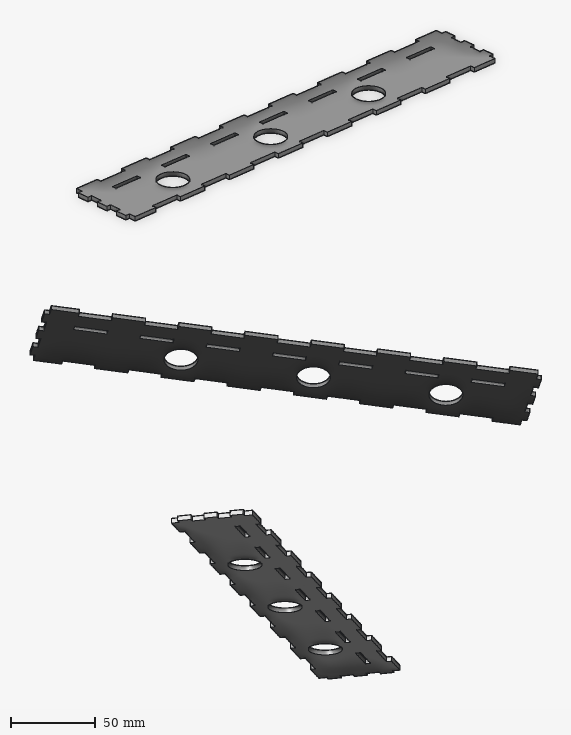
import cadquery as cq

length = 300.0
width = 50.0
thickness = 3.0

joint_depth = thickness

notch_count = 7
notch_length = length / (2 * notch_count + 1)
notch_pitch = 2 * notch_length

tab_count = 3
tab_width = 8.0
tab_pitch = 2 * tab_width

slot_width = thickness
slot_x = -10.5

hole_count = 3
hole_diameter = 20.0
hole_pitch = 2 * notch_pitch
hole_x = 6.0
middle_hole_y = -18.0


def row(count, pitch):
    """Positions of evenly spaced features centred on zero."""
    return [(i - (count - 1) / 2) * pitch for i in range(count)]


def bars(points, size_x, size_y):
    """Rectangular bars of full sheet thickness centred on the given points."""
    return cq.Workplane("XY").pushPoints(points).rect(size_x, size_y).extrude(thickness)


def body():
    """Rectangular sheet without its end tabs."""
    return bars([(0, 0)], width, length - 2 * joint_depth)


def end_tabs():
    """Tabs on both short ends, rooted inside the sheet by their own depth."""
    tab_y = length / 2 - joint_depth
    points = [(x, side * tab_y) for side in (-1, 1) for x in row(tab_count, tab_pitch)]
    return bars(points, tab_width, 2 * joint_depth)


def edge_notches():
    """Notches along both long edges; each cutter is centred on the edge."""
    points = [(side * width / 2, y) for side in (-1, 1) for y in row(notch_count, notch_pitch)]
    return bars(points, 2 * joint_depth, notch_length)


def slots():
    """Narrow through slots level with the edge notches."""
    points = [(slot_x, y) for y in row(notch_count, notch_pitch)]
    return bars(points, slot_width, notch_length)


def round_holes():
    """Large round through holes."""
    points = [(hole_x, middle_hole_y + y) for y in row(hole_count, hole_pitch)]
    return cq.Workplane("XY").pushPoints(points).circle(hole_diameter / 2).extrude(thickness)


result = body().union(end_tabs()).cut(edge_notches()).cut(slots()).cut(round_holes())